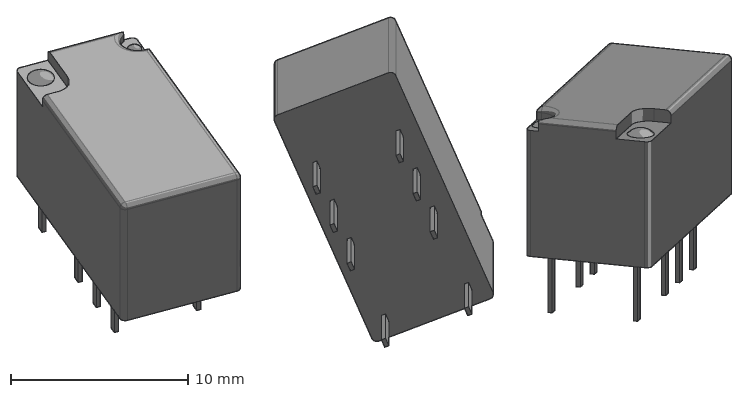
import cadquery as cq
import math

length = 15.0
width = 7.4
body_height = 8.2
edge_radius = 0.32
left = -length / 2
front = -width / 2
back = width / 2

recess_depth = 0.75
floor_z = body_height - recess_depth
pocket_length = 3.8
pocket_width = 2.01
pocket_corner_radius = 1.0
notch_radius = 1.0
notch_x = left + 1.02
notch_y = back - 0.28
notch_side_opening = 0.76

large_dome_radius = 0.76
large_dome_height = 0.33
large_dome_x = left + 1.34
large_dome_y = front + 0.99
small_dome_radius = 0.4
small_dome_height = 0.22
small_dome_x = left + 1.0
small_dome_y = back - 0.5

pin_width = 0.5
pin_thickness = 0.25
pin_length = 3.51
pin_pitch = 2.54
first_pin_x = left + 1.15
pin_columns = (0, 2, 3, 4)
row_spacing = 2 * pin_pitch


def make_body():
    body = cq.Workplane("XY").box(length, width, body_height, centered=(True, True, False))
    return body.edges("|Z or >Z").fillet(edge_radius)


def make_pocket():
    """Front corner recess with one rounded inside corner."""
    pocket = cq.Workplane("XY").box(pocket_length, pocket_width, recess_depth, centered=False)
    pocket = pocket.edges("|Z and >X and >Y").fillet(pocket_corner_radius)
    return pocket.translate((left, front, floor_z))


def make_notch():
    """U-shaped back corner recess with a rounded rim, opened through the left side."""
    rim_start = recess_depth - edge_radius
    rim_outer = notch_radius + edge_radius
    bend = edge_radius * math.sqrt(0.5)
    profile = (
        cq.Workplane("XZ")
        .lineTo(notch_radius, 0)
        .lineTo(notch_radius, rim_start)
        .threePointArc((rim_outer - bend, rim_start + bend), (rim_outer, recess_depth))
        .lineTo(0, recess_depth)
        .close()
    )
    bowl = profile.revolve(360, (0, 0), (0, 1))
    right_wall = profile.toPending().extrude(-(back - notch_y))
    bowl = bowl.union(right_wall).translate((notch_x, notch_y, floor_z))
    opening = (
        cq.Workplane("XY")
        .box(notch_x - left, notch_side_opening, recess_depth, centered=False)
        .translate((left, back - notch_side_opening, floor_z))
    )
    return bowl.union(opening)


def make_dome(x, y, radius, height):
    """Spherical cap whose flat base lies on the recess floor."""
    sphere_radius = (radius**2 + height**2) / (2 * height)
    half_angle = math.asin(radius / sphere_radius) / 2
    arc_x = sphere_radius * math.sin(half_angle)
    arc_z = height - sphere_radius * (1 - math.cos(half_angle))
    return (
        cq.Workplane("XZ")
        .lineTo(radius, 0)
        .threePointArc((arc_x, arc_z), (0, height))
        .close()
        .revolve(360, (0, 0), (0, 1))
        .translate((x, y, floor_z))
    )


def make_pins():
    centres = [
        (first_pin_x + column * pin_pitch, side * row_spacing / 2)
        for column in pin_columns
        for side in (-1, 1)
    ]
    return cq.Workplane("XY").pushPoints(centres).rect(pin_width, pin_thickness).extrude(-pin_length)


result = make_body().cut(make_pocket()).cut(make_notch())
result = result.union(make_dome(large_dome_x, large_dome_y, large_dome_radius, large_dome_height))
result = result.union(make_dome(small_dome_x, small_dome_y, small_dome_radius, small_dome_height))
result = result.union(make_pins())